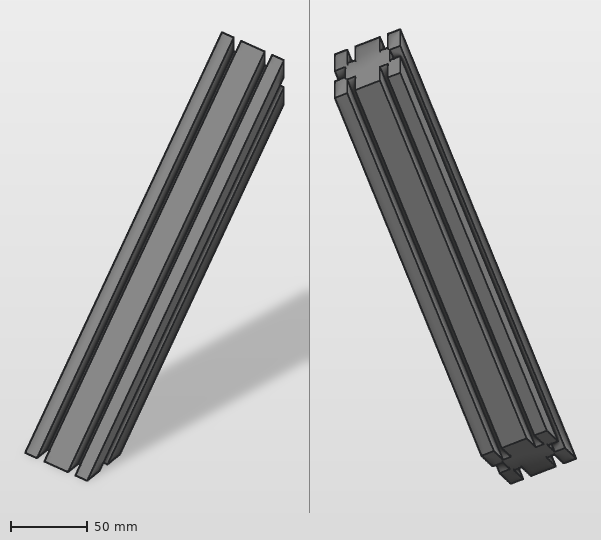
import cadquery as cq
import math

span = 215.5
width = 50.9
thickness = width / 2
groove_width = 6.0
groove_depth = 8.0
groove_spacing = width / 2

slant = math.sqrt(2)


def sloping_strip(top, bottom, strip_width, x_center):
    """Strip of the bar between two depths below its upper sloping face."""
    upper = top * slant
    lower = bottom * slant
    outline = [(upper, 0), (lower, 0), (span, span - lower), (span, span - upper)]
    return (
        cq.Workplane("YZ")
        .polyline(outline)
        .close()
        .extrude(strip_width / 2, both=True)
        .translate((x_center, 0, 0))
    )


result = sloping_strip(0, thickness, width, 0)

for side in (-1, 1):
    x_groove = side * groove_spacing / 2
    result = result.cut(sloping_strip(0, groove_depth, groove_width, x_groove))
    result = result.cut(sloping_strip(thickness - groove_depth, thickness, groove_width, x_groove))

groove_top = (thickness - groove_width) / 2
for side in (-1, 1):
    x_groove = side * (width - groove_depth) / 2
    result = result.cut(sloping_strip(groove_top, groove_top + groove_width, groove_depth, x_groove))